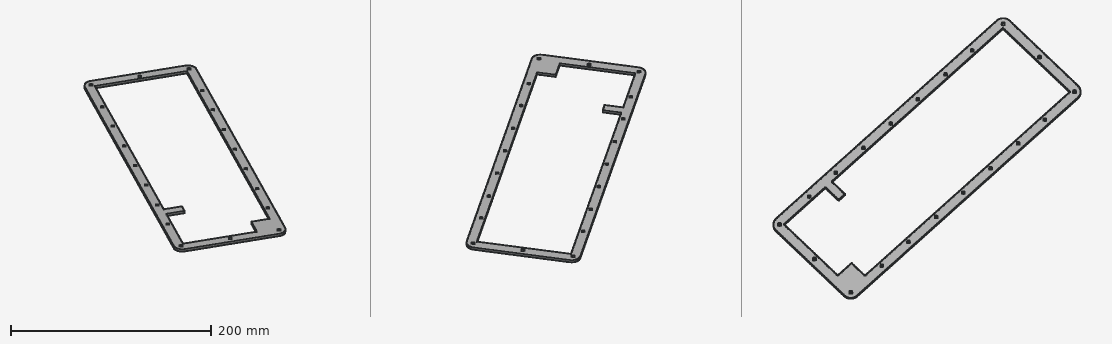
import cadquery as cq

length = 325.85
width = 116.3
thickness = 3.0
corner_radius = 9.0

key_pitch = 19.05

side_margin = 10.3
edge_margin = 10.0
window_right = length / 2 - side_margin
window_back = width / 2 - edge_margin

block_left = 7 * key_pitch
block_front = window_back - key_pitch

tab_length = 8.9
tab_left = 4.75 * key_pitch - tab_length / 2
tab_right = tab_left + tab_length
tab_back = key_pitch - window_back

edge_hole_diameter = 3.0
edge_hole_inset = 6.0
edge_hole_y = width / 2 - edge_hole_inset
edge_hole_x = (0, 37.9, 76.45, 113.55)

outer_hole_diameter = 3.3
corner_hole_inset = 7.0
corner_hole_x = length / 2 - corner_hole_inset
corner_hole_y = width / 2 - corner_hole_inset
side_hole_inset = 6.0
side_hole_x = length / 2 - side_hole_inset


def plate():
    """Flat plate with rounded vertical corners."""
    return (
        cq.Workplane("XY")
        .box(length, width, thickness, centered=(True, True, False))
        .edges("|Z")
        .fillet(corner_radius)
    )


def window():
    """Cutter for the window, leaving the corner block and the tab standing."""
    outline = [
        (-window_right, -window_back),
        (tab_left, -window_back),
        (tab_left, tab_back),
        (tab_right, tab_back),
        (tab_right, -window_back),
        (window_right, -window_back),
        (window_right, block_front),
        (block_left, block_front),
        (block_left, window_back),
        (-window_right, window_back),
    ]
    return cq.Workplane("XY").polyline(outline).close().extrude(thickness)


def holes(centers, diameter):
    """Cutters for through holes of one diameter."""
    return cq.Workplane("XY").pushPoints(centers).circle(diameter / 2).extrude(thickness)


def edge_hole_centers():
    """Rows along the two long sides, mirrored about X = 0."""
    columns = sorted({sign * x for x in edge_hole_x for sign in (-1, 1)})
    return [(x, y) for x in columns for y in (-edge_hole_y, edge_hole_y)]


def outer_hole_centers():
    """One hole in each corner and one in the middle of each short side."""
    corners = [(sx * corner_hole_x, sy * corner_hole_y) for sx in (-1, 1) for sy in (-1, 1)]
    sides = [(-side_hole_x, 0), (side_hole_x, 0)]
    return corners + sides


result = (
    plate()
    .cut(window())
    .cut(holes(edge_hole_centers(), edge_hole_diameter))
    .cut(holes(outer_hole_centers(), outer_hole_diameter))
)